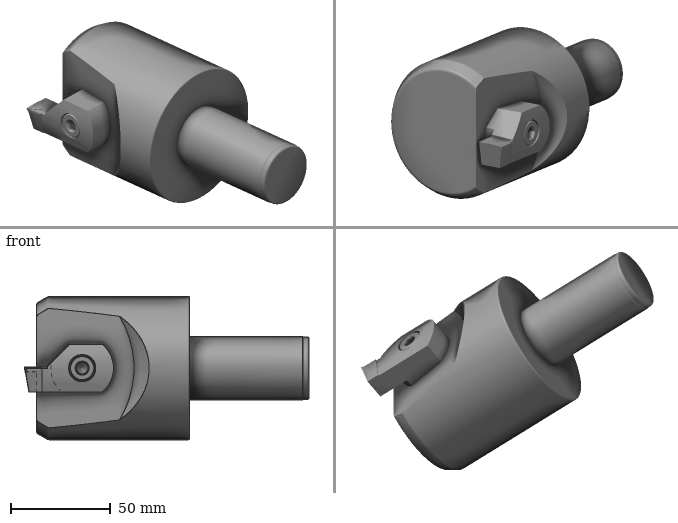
import cadquery as cq
import math


head_diameter = 72.0
head_length = 77.0
nose_length = 6.0
nose_angle = 30.0
nose_blend_radius = 2.0
head_rear_fillet = 0.8
shank_diameter = 32.0
shank_length = 60.0
shank_tip_diameter = 31.5
shank_tip_length = 3.0
shank_step_length = 0.4
shank_end_fillet = 1.1

seat_offset = 19.0
seat_tilt = 8.0
seat_end = 49.5
seat_end_radius = 50.0
seat_wall_angle = 45.0
seat_cut_depth = 25.0

cartridge_diameter = 31.5
cartridge_x = 23.0
cartridge_height = 24.0
cartridge_outer_radius = 37.5
rake_tilt = 3.0
rake_end = 5.6
rake_step = 1.0

tip_reach = 6.03
tip_y_reach = 39.0
holder_setback = 0.15
holder_front_clearance = 10.0
holder_inner_y = -25.0
holder_side_y = -38.24
holder_side_end = 2.85
holder_side_clearance = 11.5
holder_land_height = 1.2

insert_inscribed_diameter = 5.56
insert_thickness = 2.0
insert_clearance = 11.0
insert_rise = 0.25

screw_head_diameter = 12.5
screw_head_chamfer = 0.4
counterbore_diameter = 13.6
screw_head_y = -37.0
counterbore_depth = 8.0
socket_across_flats = 6.0
socket_mouth_diameter = 7.0
socket_depth = 3.0
socket_point_angle = 118.0

rim_tolerance = 0.01


def slope(angle):
    return math.tan(math.radians(angle))


def screw_axis_cylinder(diameter, y_start, y_end):
    """Cylinder on the screw axis, running along Y between two positions."""
    return (
        cq.Workplane("XZ", origin=(cartridge_x, y_start, 0))
        .circle(diameter / 2)
        .extrude(y_start - y_end)
    )


def screw_axis_cone(start_radius, end_radius, height, y_start):
    """Cone on the screw axis, running toward +Y from the given position."""
    start = cq.Vector(cartridge_x, y_start, 0)
    return cq.Workplane(cq.Solid.makeCone(start_radius, end_radius, height, start, cq.Vector(0, 1, 0)))


def seat_plane(x_along):
    """Workplane on the tilted flat; its x runs rearward, its y along Z, its normal outward."""
    tilt = math.radians(seat_tilt)
    origin = (x_along * math.cos(tilt), -seat_offset - x_along * math.sin(tilt), 0)
    return cq.Plane(
        origin=origin,
        xDir=(math.cos(tilt), -math.sin(tilt), 0),
        normal=(-math.sin(tilt), -math.cos(tilt), 0),
    )


def revolve_profile(profile):
    """Solid turned about the X axis from (x, radius) points."""
    return cq.Workplane("XY").polyline(profile).close().revolve(360, (0, 0, 0), (1, 0, 0))


def fillet_rim(body, x, radius):
    """Round the circular edge that lies at the given x."""
    rim = body.edges("%CIRCLE").filter(lambda edge: abs(edge.Center().x - x) < rim_tolerance)
    return rim.fillet(radius)


def make_turned_head():
    """Cylindrical head with a blended conical nose."""
    radius = head_diameter / 2
    profile = [
        (0, 0),
        (0, radius - nose_length * slope(nose_angle)),
        (nose_length, radius),
        (head_length, radius),
        (head_length, 0),
    ]
    head = revolve_profile(profile)
    head = fillet_rim(head, 0, nose_blend_radius)
    head = fillet_rim(head, nose_length, nose_blend_radius)
    return fillet_rim(head, head_length, head_rear_fillet)


def make_shank():
    """Plain shank that steps down slightly before its rounded end."""
    end = head_length + shank_length
    step_end = end - shank_tip_length
    profile = [
        (head_length, 0),
        (head_length, shank_diameter / 2),
        (step_end - shank_step_length, shank_diameter / 2),
        (step_end, shank_tip_diameter / 2),
        (end, shank_tip_diameter / 2),
        (end, 0),
    ]
    return fillet_rim(revolve_profile(profile), end, shank_end_fillet)


def make_seat_cutter():
    """Clearance above the flat: a round-ended bar whose sides flare outward."""
    bar_length = 2 * head_length
    plane = seat_plane(seat_end - seat_end_radius)
    flare = seat_cut_depth * slope(seat_wall_angle)
    cone = cq.Workplane(
        cq.Solid.makeCone(
            seat_end_radius, seat_end_radius + flare, seat_cut_depth, plane.origin, plane.zDir
        )
    )
    bar = (
        cq.Workplane(plane)
        .center(-bar_length / 2, 0)
        .rect(bar_length, 2 * seat_end_radius)
        .extrude(seat_cut_depth)
    )
    return cone.union(bar)


def make_socket():
    """Hexagon socket with a countersunk mouth and a conical floor."""
    hexagon_diameter = socket_across_flats / math.cos(math.pi / 6)
    inner_radius = socket_across_flats / 2
    mouth_radius = socket_mouth_diameter / 2
    floor_y = screw_head_y + socket_depth
    hexagon = (
        cq.Workplane("XZ", origin=(cartridge_x, floor_y, 0))
        .polygon(6, hexagon_diameter)
        .extrude(socket_depth)
    )
    mouth = screw_axis_cone(mouth_radius, inner_radius, mouth_radius - inner_radius, screw_head_y)
    point = screw_axis_cone(inner_radius, 0, inner_radius / slope(socket_point_angle / 2), floor_y)
    return hexagon.union(mouth).union(point)


def make_tip_holder():
    """Nose of the cartridge, relieved at its front."""
    half_height = cartridge_height / 2
    front_x = holder_setback - tip_reach
    front_drop = half_height * slope(holder_front_clearance)
    profile = [
        (front_x - front_drop, half_height),
        (cartridge_x, half_height),
        (cartridge_x, -half_height),
        (front_x + front_drop, -half_height),
    ]
    reach = holder_inner_y + tip_y_reach
    return cq.Workplane("XZ", origin=(0, holder_inner_y, 0)).polyline(profile).close().extrude(reach)


def make_cartridge_envelope():
    """Outer limit of the cartridge: a turned face, with a straight relieved side on the nose."""
    half_height = cartridge_height / 2
    side_drop = (half_height - holder_land_height) * slope(holder_side_clearance)
    side_profile = [
        (0, -half_height),
        (0, half_height),
        (holder_side_y, half_height),
        (holder_side_y, -holder_land_height),
        (holder_side_y + side_drop, -half_height),
    ]
    nose = (
        cq.Workplane("YZ", origin=(holder_side_end, 0, 0))
        .polyline(side_profile)
        .close()
        .extrude(-cartridge_diameter)
    )
    turned = (
        cq.Workplane("YZ", origin=(holder_side_end, 0, 0))
        .circle(cartridge_outer_radius)
        .extrude(2 * cartridge_diameter)
    )
    return nose.union(turned)


def rake_plane():
    """Workplane at the outermost point; its normal points outward along the tilted rake face."""
    tilt = math.radians(rake_tilt)
    return cq.Plane(
        origin=(0, -tip_y_reach, 0),
        xDir=(1, 0, 0),
        normal=(0, -math.cos(tilt), -math.sin(tilt)),
    )


def make_rake_cutter():
    """Space above the rake face, its step and the 45 degree chamfer behind it."""
    front_x = -2 * tip_reach
    step_top = rake_step - insert_rise
    top = step_top + cartridge_height
    profile = [
        (front_x, -insert_rise),
        (rake_end, -insert_rise),
        (rake_end, step_top),
        (rake_end + cartridge_height, top),
        (front_x, top),
    ]
    return cq.Workplane(rake_plane()).polyline(profile).close().extrude(tip_y_reach, both=True)


def make_insert():
    """Triangular insert standing just proud of the rake face, one corner at the tool's outer point."""
    inscribed_radius = insert_inscribed_diameter / 2
    triangle_height = 3 * inscribed_radius
    edge_length = triangle_height / math.sin(math.pi / 3)
    corners = [
        (-tip_reach, 0),
        (-tip_reach + triangle_height, -edge_length / 2),
        (-tip_reach, -edge_length),
    ]
    rake = rake_plane()
    top = cq.Plane(origin=rake.origin, xDir=(1, 0, 0), normal=-rake.yDir)
    return (
        cq.Workplane(top)
        .polyline(corners)
        .close()
        .extrude(insert_thickness, taper=insert_clearance)
    )


def make_cartridge():
    """Round-backed block on the seat, with its nose, rake face and counterbore."""
    block = screw_axis_cylinder(cartridge_diameter, 0, -tip_y_reach)
    slab = cq.Workplane("XY", origin=(cartridge_x, -tip_y_reach / 2, 0)).box(
        2 * cartridge_diameter, tip_y_reach, cartridge_height
    )
    cartridge = block.intersect(slab).union(make_tip_holder()).clean()
    cartridge = cartridge.intersect(make_cartridge_envelope())
    cartridge = cartridge.intersect(make_seat_cutter())
    cartridge = cartridge.cut(make_rake_cutter())
    counterbore_floor_y = screw_head_y + counterbore_depth
    return cartridge.cut(screw_axis_cylinder(counterbore_diameter, counterbore_floor_y, -tip_y_reach))


def make_screw_head():
    """Screw head that fills the counterbore down to its floor, leaving a ring gap around it."""
    head = screw_axis_cylinder(screw_head_diameter, screw_head_y + counterbore_depth, screw_head_y)
    return head.faces("<Y").chamfer(screw_head_chamfer).cut(make_socket())


def make_tool_body(insert):
    """Head, shank, cartridge and clamp screw in one piece, with a pocket that fits the insert."""
    body = make_turned_head().cut(make_seat_cutter())
    body = body.union(make_shank())
    body = body.union(make_cartridge())
    body = body.union(make_screw_head())
    return body.cut(insert)


cutting_insert = make_insert()
tool_body = make_tool_body(cutting_insert)
result = cq.Compound.makeCompound([tool_body.val(), cutting_insert.val()])